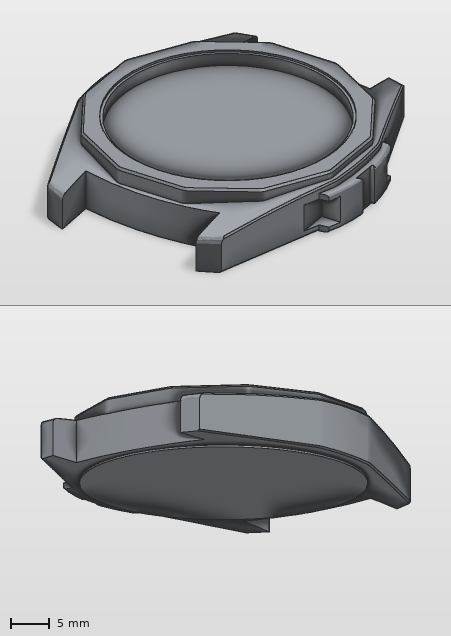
import cadquery as cq
import math

total_height = 8.2

disc_radius = 18.57
disc_thickness = 0.25

case_half_width = 19.85
flank_radius = 38.0
flank_corner_fillet = 5.0
lug_half_gap = 10.1
gap_wall_reach = 19.55
gap_wall_radius = 46.0

upper_lugs = {"root_y": 5.75, "corner_x": 12.55, "corner_y": 22.8, "tip_y": 23.62}
lower_lugs = {"root_y": -5.15, "corner_x": 13.15, "corner_y": -22.9, "tip_y": -24.20}

case_top = 7.2
top_arch_radius = 141.0
case_bottom = 0.62
bottom_arch_radius = 700.0
case_edge_chamfer = 0.22
lug_end_fillet = 0.95

bezel_sides = 12
bezel_apothem = 18.78
bezel_corner_fillet = 1.9
bezel_edge_chamfer = 0.3
bezel_root = 4.0

dial_radius = 16.1
dial_floor = 6.1
ledge_radius = 16.5
ledge_depth = 0.3

guard_radius = 21.33
guard_inner_x = 15.0
guard_end_inner_y = 8.3
guard_end_outer_x = 19.95
guard_bottom = 0.58
guard_top = 6.15
guard_edge_fillet = 0.5
crown_slot_half_width = 1.45
crown_slot_floor = 20.6
notch_inner_x = 17.72
notch_outer_x = 20.55
notch_bottom = 1.45
notch_top = 5.3
notch_length = 10.0


def arc_drop(radius, offset):
    """Drop of an arc of this radius at a sideways offset from its crest."""
    return radius - math.sqrt(radius**2 - offset**2)


def mirrored_x(point):
    return (-point[0], point[1])


def lug_points(lugs):
    """Plan points of the +X lug: flank end, outer corner, tip and gap-wall corner."""
    side = math.copysign(1, lugs["tip_y"])
    root = (case_half_width - arc_drop(flank_radius, lugs["root_y"]), lugs["root_y"])
    corner = (lugs["corner_x"], lugs["corner_y"])
    tip = (lug_half_gap, lugs["tip_y"])
    inside = (lug_half_gap, side * (gap_wall_reach - arc_drop(gap_wall_radius, lug_half_gap)))
    return root, corner, tip, inside


def make_case_plan():
    """Plan outline extruded well past the two arched faces."""
    root_up, corner_up, tip_up, inside_up = lug_points(upper_lugs)
    root_low, corner_low, tip_low, inside_low = lug_points(lower_lugs)
    plan = (
        cq.Workplane("XY").workplane(offset=-1)
        .moveTo(*root_low)
        .threePointArc((case_half_width, 0), root_up)
        .lineTo(*corner_up).lineTo(*tip_up).lineTo(*inside_up)
        .threePointArc((0, gap_wall_reach), mirrored_x(inside_up))
        .lineTo(*mirrored_x(tip_up)).lineTo(*mirrored_x(corner_up)).lineTo(*mirrored_x(root_up))
        .threePointArc((-case_half_width, 0), mirrored_x(root_low))
        .lineTo(*mirrored_x(corner_low)).lineTo(*mirrored_x(tip_low)).lineTo(*mirrored_x(inside_low))
        .threePointArc((0, -gap_wall_reach), inside_low)
        .lineTo(*tip_low).lineTo(*corner_low)
        .close()
        .extrude(total_height + 2)
    )
    for root in (root_up, root_low):
        for x, y in (root, mirrored_x(root)):
            edge_finder = cq.selectors.BoxSelector((x - 0.1, y - 0.1, -9), (x + 0.1, y + 0.1, 19))
            plan = plan.edges(edge_finder).edges("|Z").fillet(flank_corner_fillet)
    return plan


def make_arched_slab():
    """Slab with the arched top and bottom faces, wider than the case."""
    end_y = 26.0
    top_end = case_top - arc_drop(top_arch_radius, end_y)
    bottom_end = case_bottom - arc_drop(bottom_arch_radius, end_y)
    return (
        cq.Workplane("YZ")
        .moveTo(-end_y, bottom_end)
        .threePointArc((0, case_bottom), (end_y, bottom_end))
        .lineTo(end_y, top_end)
        .threePointArc((0, case_top), (-end_y, top_end))
        .close()
        .extrude(2 * case_half_width, both=True)
    )


def make_case_middle():
    middle = make_case_plan().intersect(make_arched_slab())
    for side in (1, -1):
        for low, high in ((4, 8), (-1, 1)):
            edge_finder = cq.selectors.BoxSelector((side * 14, -15, low), (side * 21, 15, high))
            middle = middle.edges(edge_finder).chamfer(case_edge_chamfer)
    ends = []
    for lugs in (upper_lugs, lower_lugs):
        mid_x = (lug_half_gap + lugs["corner_x"]) / 2
        mid_y = (lugs["tip_y"] + lugs["corner_y"]) / 2
        ends += [(mid_x, mid_y), (-mid_x, mid_y)]
    for x, y in ends:
        edge_finder = cq.selectors.BoxSelector((x - 0.3, y - 0.3, 4), (x + 0.3, y + 0.3, 7))
        middle = middle.edges(edge_finder).fillet(lug_end_fillet)
    return middle


def make_bezel():
    """Twelve-sided bezel with flats facing along X and Y."""
    corner_diameter = 2 * bezel_apothem / math.cos(math.pi / bezel_sides)
    return (
        cq.Workplane("XY").workplane(offset=bezel_root)
        .transformed(rotate=(0, 0, 180 / bezel_sides))
        .polygon(bezel_sides, corner_diameter)
        .extrude(total_height - bezel_root)
        .edges("|Z").fillet(bezel_corner_fillet)
        .faces(">Z").chamfer(bezel_edge_chamfer)
    )


def make_crown_guard():
    """Round-faced guard with a slot across its middle and rounded rims on both halves."""
    end_y = math.sqrt(guard_radius**2 - guard_end_outer_x**2)
    slot_x = math.sqrt(guard_radius**2 - crown_slot_half_width**2)
    arc_turn = (math.atan2(end_y, guard_end_outer_x) + math.atan2(crown_slot_half_width, slot_x)) / 2
    arc_x = guard_radius * math.cos(arc_turn)
    arc_y = guard_radius * math.sin(arc_turn)
    guard = (
        cq.Workplane("XY").workplane(offset=guard_bottom)
        .moveTo(guard_inner_x, -guard_end_inner_y)
        .lineTo(guard_end_outer_x, -end_y)
        .threePointArc((arc_x, -arc_y), (slot_x, -crown_slot_half_width))
        .lineTo(crown_slot_floor, -crown_slot_half_width)
        .lineTo(crown_slot_floor, crown_slot_half_width)
        .lineTo(slot_x, crown_slot_half_width)
        .threePointArc((arc_x, arc_y), (guard_end_outer_x, end_y))
        .lineTo(guard_inner_x, guard_end_inner_y)
        .close()
        .extrude(guard_top - guard_bottom)
    )
    for side in (1, -1):
        rim_finder = cq.selectors.BoxSelector((20.0, side * 0.5, -9), (22, side * 8, 19))
        guard = guard.edges(rim_finder).edges("not |Z").fillet(guard_edge_fillet)
    return guard


def make_case():
    case = make_case_middle().union(make_crown_guard()).union(make_bezel())
    dial_recess = cq.Workplane("XY").workplane(offset=dial_floor).circle(dial_radius).extrude(total_height)
    ledge = (
        cq.Workplane("XY").workplane(offset=total_height - ledge_depth)
        .circle(ledge_radius).extrude(total_height)
    )
    case = case.cut(dial_recess).cut(ledge)
    notch_wall_y = math.sqrt(guard_radius**2 - notch_outer_x**2)
    for side in (1, -1):
        notch = cq.Workplane("XY").box(
            notch_outer_x - notch_inner_x, notch_length, notch_top - notch_bottom, centered=(False, True, False)
        ).translate((notch_inner_x, side * (notch_wall_y + notch_length / 2), notch_bottom))
        case = case.cut(notch)
    return case


def make_back_disc():
    return cq.Workplane("XY").circle(disc_radius).extrude(disc_thickness)


case = make_case()
back_disc = make_back_disc()
result = cq.Compound.makeCompound([case.val(), back_disc.val()])